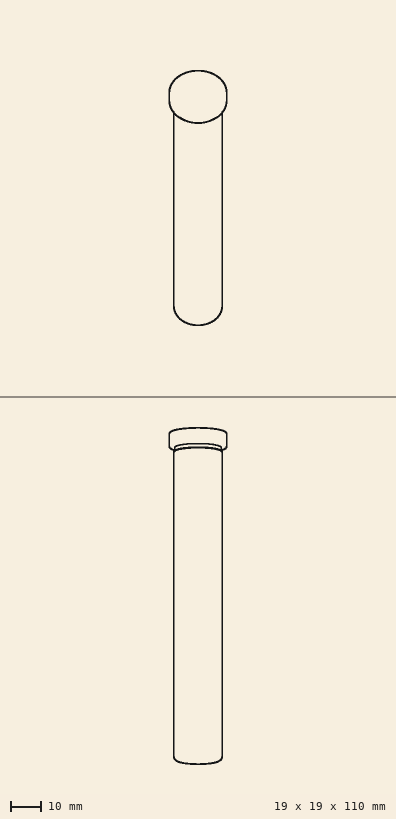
import cadquery as cq

total_length = 110.0
head_diameter = 19.0
head_height = 5.1
head_edge_radius = 0.5
body_diameter = 16.1
body_tip_radius = 1.5
neck_diameter = 15.5
neck_height = 1.2

head_bottom = total_length - head_height
body_top = head_bottom - neck_height
body_edge_chamfer = (body_diameter - neck_diameter) / 2


def cylinder(diameter, bottom, top):
    """Solid cylinder on the Z axis between two levels."""
    return cq.Workplane("XY").workplane(offset=bottom).circle(diameter / 2).extrude(top - bottom)


body = cylinder(body_diameter, 0, body_top)
body = body.faces("<Z").edges().fillet(body_tip_radius)
body = body.faces(">Z").edges().chamfer(body_edge_chamfer)

neck = cylinder(neck_diameter, body_top, head_bottom)

head = cylinder(head_diameter, head_bottom, total_length)
head = head.edges().fillet(head_edge_radius)

result = body.union(neck).union(head)